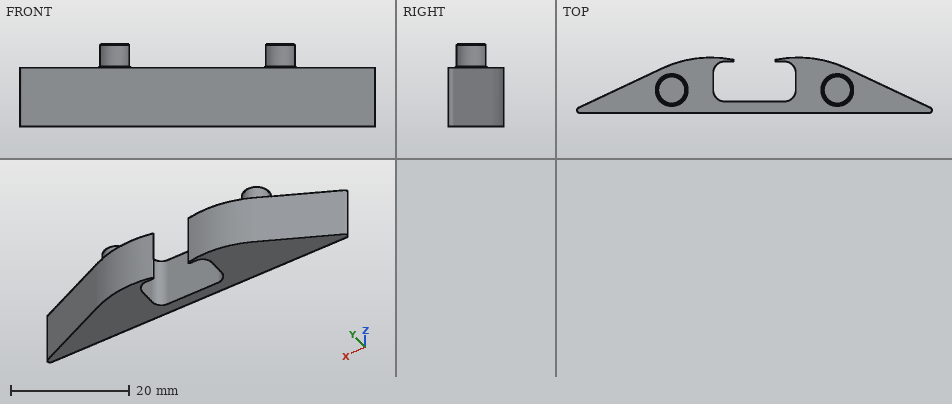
import cadquery as cq
import math

length = 60.2
depth = 9.45
total_height = 14.0
pin_height = 4.05
body_height = total_height - pin_height
end_radius = 0.5

crown_x = 7.4
crown_radius = 19.25

slot_width = 13.95
slot_floor = 2.0
slot_corner_radius = 1.9
lip_underside = 8.7
mouth_width = 7.0
lip_nose = 0.2

pin_spacing = 28.05
pin_y = 3.9
pin_diameter = 5.0
pin_edge = 0.25


def crown_y(x):
    """Height of the crown arc at a distance x from the centre plane."""
    return depth - crown_radius + math.sqrt(crown_radius**2 - (x - crown_x)**2)


def flank_slope():
    """Angle below horizontal of the line tangent to both the crown and the end arc."""
    run = length / 2 - end_radius - crown_x
    rise = depth - crown_radius - end_radius
    distance = math.hypot(run, rise)
    return math.asin((crown_radius - end_radius) / distance) + math.atan2(rise, run)


def make_half_body():
    """Right half of the body, from the centre plane to its outer end."""
    angle = flank_slope()
    end_x = length / 2
    end_center_x = end_x - end_radius
    tangent_x = crown_x + crown_radius * math.sin(angle)
    end_tangent = (
        end_center_x + end_radius * math.sin(angle),
        end_radius + end_radius * math.cos(angle),
    )
    lip_x = mouth_width / 2
    nose_start_x = lip_x + lip_nose
    nose_y = (crown_y(nose_start_x) + lip_underside) / 2
    wall_x = slot_width / 2

    half = (
        cq.Workplane("XY")
        .lineTo(end_center_x, 0)
        .threePointArc((end_x, end_radius), end_tangent)
        .lineTo(tangent_x, crown_y(tangent_x))
        .threePointArc((crown_x, depth), (nose_start_x, crown_y(nose_start_x)))
        .threePointArc((lip_x, nose_y), (nose_start_x, lip_underside))
        .lineTo(wall_x, lip_underside)
        .lineTo(wall_x, slot_floor)
        .lineTo(0, slot_floor)
        .close()
        .extrude(body_height)
    )
    for corner_y in (slot_floor, lip_underside):
        corner = cq.selectors.NearestToPointSelector((wall_x, corner_y, body_height / 2))
        half = half.edges("|Z").edges(corner).fillet(slot_corner_radius)
    return half


def make_pin(x):
    """Pin with a chamfered top and a flared foot standing on the body."""
    pin_radius = pin_diameter / 2
    foot_radius = pin_radius + pin_edge
    return (
        cq.Workplane("XZ")
        .moveTo(0, -pin_edge)
        .lineTo(foot_radius, -pin_edge)
        .lineTo(foot_radius, 0)
        .lineTo(pin_radius, pin_edge)
        .lineTo(pin_radius, pin_height - pin_edge)
        .lineTo(pin_radius - pin_edge, pin_height)
        .lineTo(0, pin_height)
        .close()
        .revolve(360, (0, 0, 0), (0, 1, 0))
        .translate((x, pin_y, body_height))
    )


half_body = make_half_body()
result = half_body.union(half_body.mirror("YZ"))
for side in (-1, 1):
    result = result.union(make_pin(side * pin_spacing / 2))
result = result.clean()